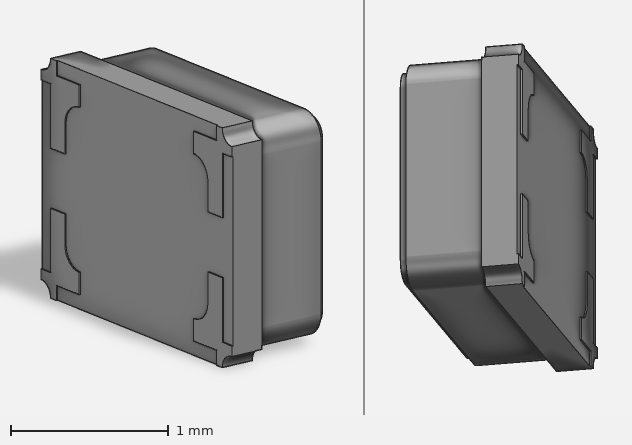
import cadquery as cq

length = 2.0
height = 1.6
depth = 0.8

pad_thickness = 0.01
base_top = 0.24
lid_thickness = 0.05

notch_radius = 0.1
body_inset = 0.05
lid_inset = 0.1
body_corner_radius = 0.175
lid_corner_radius = body_corner_radius - (lid_inset - body_inset)

pad_edge_gap = 0.1
pad_corner_width = 0.162
pad_corner_height = 0.17
pad_foot_reach = 0.4
pad_foot_height = 0.25
pad_leg_reach = 0.25
pad_leg_height = 0.6
pad_fillet_radius = pad_foot_reach - pad_leg_reach

pad_face = -depth / 2
base_face = pad_face + pad_thickness
body_start = pad_face + base_top
lid_top = depth / 2
lid_start = lid_top - lid_thickness


def plane_at(y):
    """XZ plane at a given Y, with its normal along +Y and local y along -Z."""
    return cq.Workplane(cq.Plane(origin=(0, y, 0), xDir=(1, 0, 0), normal=(0, 1, 0)))


def slab(inset, y_start, y_end):
    """Rectangular layer between two Y levels, set in from the outer edges."""
    return plane_at(y_start).rect(length - 2 * inset, height - 2 * inset).extrude(y_end - y_start)


def corner_pad():
    """Contact pad at the -X corner on the local -y (upper Z) side."""
    return (
        plane_at(pad_face)
        .center(-length / 2, -height / 2)
        .lineTo(pad_corner_width, 0)
        .lineTo(pad_corner_width, pad_edge_gap)
        .lineTo(pad_foot_reach, pad_edge_gap)
        .lineTo(pad_foot_reach, pad_foot_height)
        .radiusArc((pad_leg_reach, pad_foot_height + pad_fillet_radius), pad_fillet_radius)
        .lineTo(pad_leg_reach, pad_leg_height)
        .lineTo(pad_edge_gap, pad_leg_height)
        .lineTo(pad_edge_gap, pad_corner_height)
        .lineTo(0, pad_corner_height)
        .close()
        .extrude(pad_thickness)
    )


base = slab(0, base_face, body_start)
body = slab(body_inset, body_start, lid_start).edges("|Y").fillet(body_corner_radius)
lid = slab(lid_inset, lid_start, lid_top).edges("|Y").fillet(lid_corner_radius)
package = base.union(body).union(lid)

upper_left_pad = corner_pad()
left_pads = upper_left_pad.union(upper_left_pad.mirror("XY"))
package = package.union(left_pads).union(left_pads.mirror("YZ"))

notches = (
    plane_at(pad_face)
    .rect(length, height, forConstruction=True)
    .vertices()
    .circle(notch_radius)
    .extrude(base_top)
)
result = package.cut(notches)